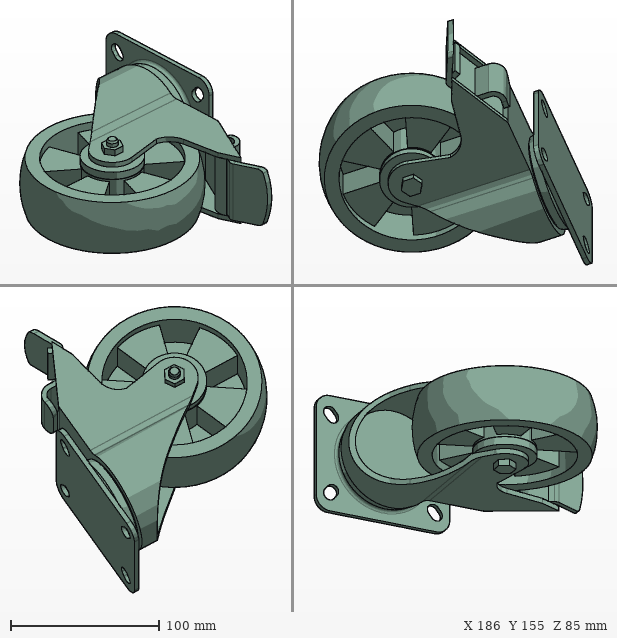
import cadquery as cq
import math


SHEET = 3.7

PLATE_X, PLATE_Z = 100.0, 85.0
PLATE_THICK = 3.5
PLATE_CORNER = 10.0
SLOT_WIDTH = 9.0
SLOT_OUTER = (40.0, 30.0)
SLOT_INNER = (37.8, 27.2)

FLARE_R = 36.5
WAIST_R, WAIST_Y = 34.6, -5.2
RACE_TOP_R, RACE_TOP_Y = 35.0, -7.3
RACE_LOW_R, RACE_LOW_Y = 33.0, -13.5
GAP_R = 31.6

FORK_TOP = -14.3
FORK_R = 73.5 / 2
LEG_OUT = 25.9
LEG_IN = LEG_OUT - SHEET
LEG_BLEND = 9.1
FRONT_LOW_Y = -26.2
CURVE_END = (-4.6, -54.7)
AXLE = (48.0, -92.5)
LEG_END_R = 16.0
THROAT_LOW = (58.0, -60.6)
THROAT_HIGH = (71.2, -48.0)
TAIL_LOW = (100.0, -43.5)
TAIL_TIP = (115.5, -37.0)
TAIL_TOP_X = 70.0
TAIL_SLOPE = math.degrees(math.atan2(FORK_TOP - TAIL_TIP[1], TAIL_TIP[0] - TAIL_TOP_X))

WHEEL_R = 62.5
WHEEL_FACE_R = 59.0
WHEEL_WIDTH = 40.0
RIM_R = 98.0 / 2
CAP_R = 43.5 / 2
CAP_HALF = 21.5
CAP_THICK = 5.8
HUB_R = 21.4
WEB_HALF = 14.0
WEB_WALL = 3.3
POCKETS = 5
POCKET_ANGLE = 36

BOLT_D = 8.0
BOLT_TOP = 34.8
BOLT_TIP_HEIGHT = 1.5
BOLT_TIP_D = 6.1
HEX_CORNERS = 15.0
HEX_HEIGHT = 4.6

PEDAL_BEND = (111.5, -38.9)
PEDAL_RISE = 24
PEDAL_END_X = 136.0
PEDAL_SIDE_X = 128.9
PEDAL_CORNER = (133.0, 19.7)
TAB_HEIGHT = 6.5
TAB_LENGTH = 4.3
TAB_OVERHANG = 2.8

HOOK_HALF = 17.7
CURL_CENTRE = (83.1, -19.7)
CURL_R = 9.3
CURL_ANGLE = 97
LIP_LENGTH = 9.5
LIP_CORNER = 9.1
TURN_R = 11.5
TURN_Y = -30.9
TURN_ANGLE = 297


def polar(centre, radius, angle):
    a = math.radians(angle)
    return (centre[0] + radius * math.cos(a), centre[1] + radius * math.sin(a))


def tangent_point(point, centre, radius, side):
    """Touching point on a circle of the tangent from a point; side is +1 or -1."""
    dx, dy = point[0] - centre[0], point[1] - centre[1]
    spread = math.degrees(math.acos(radius / math.hypot(dx, dy)))
    return polar(centre, radius, math.degrees(math.atan2(dy, dx)) + side * spread)


def plan(y):
    """Workplane looking along +Y, with local axes X and Z; extrusions go down from height y."""
    return cq.Workplane("XZ", origin=(0, y, 0))


def across(outline, half_width):
    """Extrude an XY outline to both sides of the middle plane."""
    return outline.extrude(half_width, both=True)


def block(x0, x1, y0, y1, half_z):
    return across(cq.Workplane("XY").moveTo((x0 + x1) / 2, (y0 + y1) / 2).rect(x1 - x0, y1 - y0), half_z)


def mounting_plate():
    plate = plan(0).rect(PLATE_X, PLATE_Z).extrude(PLATE_THICK).edges("|Y").fillet(PLATE_CORNER)
    dx, dz = SLOT_OUTER[0] - SLOT_INNER[0], SLOT_OUTER[1] - SLOT_INNER[1]
    mid_x, mid_z = (SLOT_OUTER[0] + SLOT_INNER[0]) / 2, (SLOT_OUTER[1] + SLOT_INNER[1]) / 2
    length = math.hypot(dx, dz) + SLOT_WIDTH
    tilt = math.degrees(math.atan2(dz, dx))
    for sx in (-1, 1):
        for sz in (-1, 1):
            slot = plan(0).center(sx * mid_x, sz * mid_z).slot2D(length, SLOT_WIDTH, sx * sz * tilt)
            plate = plate.cut(slot.extrude(PLATE_THICK))
    return plate


def swivel_bearing():
    return (
        cq.Workplane("XY")
        .moveTo(0, -PLATE_THICK)
        .lineTo(FLARE_R, -PLATE_THICK)
        .threePointArc((WAIST_R, WAIST_Y), (RACE_TOP_R, RACE_TOP_Y))
        .lineTo(RACE_LOW_R, RACE_LOW_Y)
        .lineTo(GAP_R, RACE_LOW_Y)
        .lineTo(GAP_R, FORK_TOP)
        .lineTo(0, FORK_TOP)
        .close()
        .revolve(360, (0, 0, 0), (0, 1, 0))
    )


def fork_side_outline():
    front_tangent = tangent_point(CURVE_END, AXLE, LEG_END_R, 1)
    rear_tangent = tangent_point(THROAT_LOW, AXLE, LEG_END_R, -1)
    return (
        cq.Workplane("XY")
        .moveTo(*rear_tangent)
        .threePointArc(polar(AXLE, LEG_END_R, -90), front_tangent)
        .lineTo(*CURVE_END)
        .tangentArcPoint((-FORK_R, FRONT_LOW_Y), relative=False)
        .lineTo(-FORK_R, FORK_TOP)
        .lineTo(TAIL_TOP_X, FORK_TOP)
        .lineTo(*TAIL_TIP)
        .lineTo(*TAIL_LOW)
        .lineTo(*THROAT_HIGH)
        .tangentArcPoint(THROAT_LOW, relative=False)
        .close()
    )


def fork_plan_outline(end_x):
    """Round front blended into two straight sides that run back to end_x."""
    blend_z = LEG_OUT + LEG_BLEND
    blend_x = math.sqrt((FORK_R + LEG_BLEND) ** 2 - blend_z ** 2)
    centre_angle = math.degrees(math.atan2(blend_z, blend_x))
    touch = polar((0, 0), FORK_R, centre_angle)
    blend_mid = polar((blend_x, blend_z), LEG_BLEND, (centre_angle + 180 + 270) / 2)
    return (
        plan(FORK_TOP)
        .moveTo(end_x, LEG_OUT)
        .lineTo(blend_x, LEG_OUT)
        .threePointArc(blend_mid, touch)
        .threePointArc((-FORK_R, 0), (touch[0], -touch[1]))
        .threePointArc((blend_mid[0], -blend_mid[1]), (blend_x, -LEG_OUT))
        .lineTo(end_x, -LEG_OUT)
        .close()
    )


def fork():
    depth = FORK_TOP - (AXLE[1] - LEG_END_R)
    below_top = FORK_TOP - SHEET
    shell = fork_plan_outline(TAIL_TIP[0]).extrude(depth)
    shell = shell.cut(plan(below_top).circle(FORK_R - SHEET).extrude(depth))
    shell = shell.cut(block(0, TAIL_TIP[0], FORK_TOP - depth, below_top, LEG_IN))
    shell = shell.cut(block(TAIL_TOP_X, TAIL_TIP[0], below_top, FORK_TOP, LEG_IN))
    return shell.intersect(across(fork_side_outline(), FORK_R))


def wheel():
    """Wheel about Z through the origin, with pockets open alternately to the two sides."""
    half = WHEEL_WIDTH / 2
    rim = (
        cq.Workplane("XZ")
        .moveTo(RIM_R, -half)
        .lineTo(WHEEL_FACE_R, -half)
        .threePointArc((WHEEL_R, 0), (WHEEL_FACE_R, half))
        .lineTo(RIM_R, half)
        .close()
        .revolve(360, (0, 0, 0), (0, 1, 0))
    )
    hub = cq.Workplane("XY").circle(HUB_R).extrude(CAP_HALF, both=True)
    for z in (-CAP_HALF, CAP_HALF - CAP_THICK):
        hub = hub.union(cq.Workplane("XY", origin=(0, 0, z)).circle(CAP_R).extrude(CAP_THICK))
    web = cq.Workplane("XY").circle((RIM_R + WHEEL_FACE_R) / 2).extrude(WEB_HALF, both=True)

    half_angle = 180 / (2 * POCKETS)
    apex = (WEB_WALL / 2 / math.sin(math.radians(half_angle)), 0)
    far_corners = [polar(apex, 2 * RIM_R, a) for a in (-half_angle, half_angle)]
    pocket = cq.Workplane("XY").polyline([apex] + far_corners).close().extrude(2 * WEB_HALF)
    for i in range(2 * POCKETS):
        shift = WEB_WALL - WEB_HALF if i % 2 == 0 else -WEB_WALL - WEB_HALF
        turn = POCKET_ANGLE + i * 2 * half_angle
        web = web.cut(pocket.rotate((0, 0, 0), (0, 0, 1), turn).translate((0, 0, shift)))
    return rim.union(web).union(hub)


def axle_bolt():
    """Bolt through the legs with a hexagon against each; its threaded end stands out at +Z."""
    base = -LEG_OUT - HEX_HEIGHT
    taper = math.degrees(math.atan((BOLT_D - BOLT_TIP_D) / 2 / BOLT_TIP_HEIGHT))
    shank = cq.Workplane("XY", origin=(0, 0, base)).circle(BOLT_D / 2)
    bolt = shank.extrude(BOLT_TOP - BOLT_TIP_HEIGHT - base)
    tip = cq.Workplane("XY", origin=(0, 0, BOLT_TOP - BOLT_TIP_HEIGHT)).circle(BOLT_D / 2)
    bolt = bolt.union(tip.extrude(BOLT_TIP_HEIGHT, taper=taper))
    for z in (base, LEG_OUT):
        hexagon = cq.Workplane("XY", origin=(0, 0, z)).polygon(6, HEX_CORNERS).extrude(HEX_HEIGHT)
        bolt = bolt.union(hexagon.rotate((0, 0, 0), (0, 0, 1), 30))
    return bolt


def pedal_plan():
    """Block seen from above as the rounded pedal, tall enough to hold the whole brake sheet."""
    x, z = PEDAL_CORNER
    return (
        plan(FORK_TOP)
        .moveTo(0, LEG_IN)
        .lineTo(PEDAL_SIDE_X, LEG_IN)
        .tangentArcPoint((x, z), relative=False)
        .threePointArc((PEDAL_END_X, 0), (x, -z))
        .tangentArcPoint((PEDAL_SIDE_X, -LEG_IN), relative=False)
        .lineTo(0, -LEG_IN)
        .close()
        .extrude(-AXLE[1])
    )


def brake_pedal():
    arm_angle = 180 - TAIL_SLOPE
    arm_length = (FORK_TOP - PEDAL_BEND[1]) / math.sin(math.radians(TAIL_SLOPE))
    arm_end = polar(PEDAL_BEND, arm_length, arm_angle)
    arm_under = -90 - TAIL_SLOPE
    pedal_under = PEDAL_RISE - 90
    pedal_end = polar(PEDAL_BEND, PEDAL_END_X - PEDAL_BEND[0] + SHEET, PEDAL_RISE)
    sheet = (
        cq.Workplane("XY")
        .moveTo(*arm_end)
        .lineTo(*PEDAL_BEND)
        .lineTo(*pedal_end)
        .lineTo(*polar(pedal_end, SHEET, pedal_under))
        .lineTo(*polar(PEDAL_BEND, SHEET, pedal_under))
        .threePointArc(
            polar(PEDAL_BEND, SHEET, (pedal_under + arm_under) / 2),
            polar(PEDAL_BEND, SHEET, arm_under),
        )
        .lineTo(*polar(arm_end, SHEET, arm_under))
        .close()
    )
    return across(sheet, LEG_IN).intersect(pedal_plan())


def stop_tab():
    back = polar(PEDAL_BEND, TAB_OVERHANG, -TAIL_SLOPE)
    front = polar(back, TAB_LENGTH, 180 - TAIL_SLOPE)
    up = 90 - TAIL_SLOPE
    outline = [back, polar(back, TAB_HEIGHT, up), polar(front, TAB_HEIGHT, up), front]
    return across(cq.Workplane("XY").polyline(outline).close(), HOOK_HALF)


def brake_hook():
    curl_in = CURL_R - SHEET
    turn_in = TURN_R - SHEET
    turn = (CURL_CENTRE[0] + curl_in + TURN_R, TURN_Y)
    lip = CURL_ANGLE + 90
    curl_mid, turn_mid = CURL_ANGLE / 2, (180 + TURN_ANGLE) / 2
    curl_outer_end = polar(CURL_CENTRE, CURL_R, CURL_ANGLE)
    curl_inner_end = polar(CURL_CENTRE, curl_in, CURL_ANGLE)
    lip_tip = polar(curl_outer_end, LIP_LENGTH, lip)
    strip = across(
        cq.Workplane("XY")
        .moveTo(*lip_tip)
        .lineTo(*curl_outer_end)
        .threePointArc(polar(CURL_CENTRE, CURL_R, curl_mid), polar(CURL_CENTRE, CURL_R, 0))
        .lineTo(*polar(turn, turn_in, 180))
        .threePointArc(polar(turn, turn_in, turn_mid), polar(turn, turn_in, TURN_ANGLE))
        .lineTo(*polar(turn, TURN_R, TURN_ANGLE))
        .threePointArc(polar(turn, TURN_R, turn_mid), polar(turn, TURN_R, 180))
        .lineTo(*polar(CURL_CENTRE, curl_in, 0))
        .threePointArc(polar(CURL_CENTRE, curl_in, curl_mid), curl_inner_end)
        .lineTo(*polar(curl_inner_end, LIP_LENGTH, lip))
        .close(),
        LEG_IN,
    )
    narrow = block(lip_tip[0], turn[0], TURN_Y, 0, HOOK_HALF).edges("|Y and <X").fillet(LIP_CORNER)
    wide = block(lip_tip[0], turn[0] + TURN_R, TURN_Y - TURN_R, TURN_Y, LEG_IN)
    return strip.intersect(narrow.union(wide))


def at_axle(body):
    return body.translate((AXLE[0], AXLE[1], 0))


result = (
    mounting_plate()
    .union(swivel_bearing())
    .union(fork())
    .union(at_axle(wheel()))
    .union(at_axle(axle_bolt()))
    .union(brake_pedal())
    .union(stop_tab())
    .union(brake_hook())
)